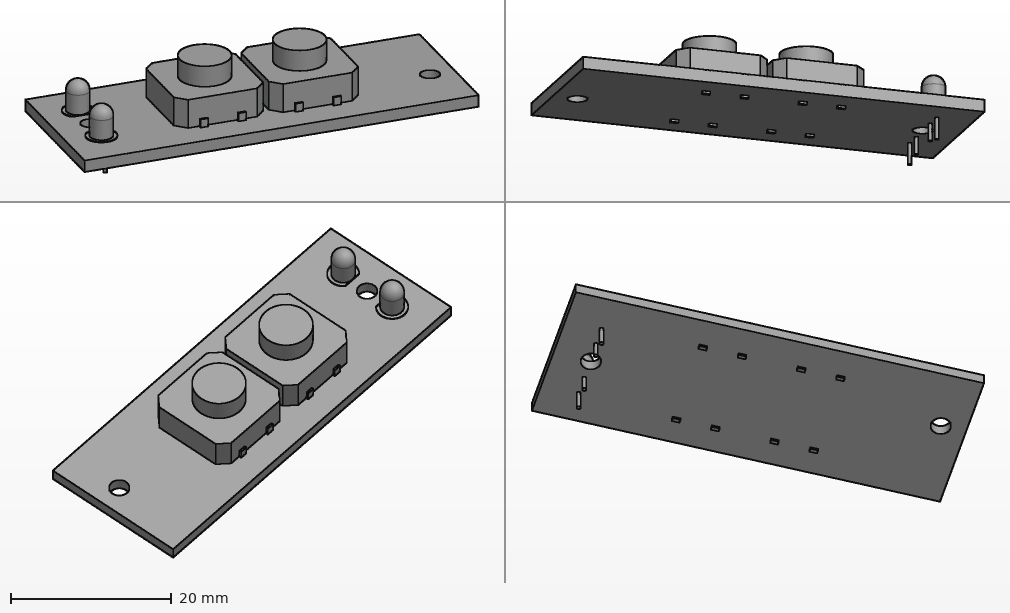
import cadquery as cq

BOARD_WIDTH = 19.8
BOARD_LENGTH = 52.85
BOARD_THICKNESS = 1.6
HOLE_DIAMETER = 2.55

BUTTON_X = -0.15
BUTTON_PITCH = 12.75
UPPER_BUTTON_Y = 6.45
BODY_SIDE = 12.0
BODY_CHAMFER = 1.35
BODY_STANDOFF = 0.1
BODY_TOP = 3.95
CAP_DIAMETER = 6.7
CAP_TOP = 6.75

LEG_WIDTH = 1.0
LEG_THICKNESS = 0.5
LEG_OVERHANG = 0.25
LEG_PITCH = 5.05
LEG_TOP = 1.1
LEG_BELOW_BOARD = 0.3

LED_DIAMETER = 3.0
LED_HEIGHT = 4.35
FLANGE_DIAMETER = 4.0
FLANGE_THICKNESS = 0.1
LED_PIN_DIAMETER = 0.5
LED_PIN_PITCH = 2.55
LONG_PIN_BOTTOM = -4.4
SHORT_PIN_BOTTOM = -3.8

HOLE_CENTRES = [(1.8, 23.15), (-0.25, -21.55)]
BUTTON_CENTRES = [(BUTTON_X, UPPER_BUTTON_Y), (BUTTON_X, UPPER_BUTTON_Y - BUTTON_PITCH)]
LEFT_LED_CENTRE = (-4.35, -21.6)
RIGHT_LED_CENTRE = (3.8, -21.7)


def upright_cylinder(x, y, diameter, bottom, top):
    return cq.Workplane("XY", origin=(x, y, bottom)).circle(diameter / 2).extrude(top - bottom)


def make_board():
    plate = cq.Workplane("XY").box(
        BOARD_WIDTH, BOARD_LENGTH, BOARD_THICKNESS, centered=(True, True, False)
    )
    plate = plate.translate((0, 0, -BOARD_THICKNESS))
    for x, y in HOLE_CENTRES:
        plate = plate.cut(upright_cylinder(x, y, HOLE_DIAMETER, -BOARD_THICKNESS, 0))
    return plate


def make_button(x, y):
    """Chamfered square body held just above the board by four legs, with a round cap."""
    body = (
        cq.Workplane("XY", origin=(x, y, BODY_STANDOFF))
        .rect(BODY_SIDE, BODY_SIDE)
        .extrude(BODY_TOP - BODY_STANDOFF)
        .edges("|Z")
        .chamfer(BODY_CHAMFER)
    )
    cap = upright_cylinder(x, y, CAP_DIAMETER, BODY_TOP, CAP_TOP)
    leg_bottom = -BOARD_THICKNESS - LEG_BELOW_BOARD
    leg_spacing_x = BODY_SIDE + 2 * LEG_OVERHANG - LEG_THICKNESS
    legs = (
        cq.Workplane("XY", origin=(x, y, leg_bottom))
        .rarray(leg_spacing_x, LEG_PITCH, 2, 2)
        .rect(LEG_THICKNESS, LEG_WIDTH)
        .extrude(LEG_TOP - leg_bottom)
    )
    return body.union(cap).union(legs)


def make_led(x, y, flat_side):
    """Domed LED; flat_side is +1 or -1, the X direction of the flange flat and the short pin."""
    radius = LED_DIAMETER / 2
    lens = upright_cylinder(x, y, LED_DIAMETER, 0, LED_HEIGHT - radius)
    dome = cq.Workplane("XY", origin=(x, y, LED_HEIGHT - radius)).sphere(radius)
    flange = upright_cylinder(x, y, FLANGE_DIAMETER, 0, FLANGE_THICKNESS)
    flat_trim = (
        cq.Workplane("XY", origin=(x + flat_side * (radius + FLANGE_DIAMETER / 2), y, 0))
        .rect(FLANGE_DIAMETER, FLANGE_DIAMETER)
        .extrude(FLANGE_THICKNESS)
    )
    pin_offset = flat_side * LED_PIN_PITCH / 2
    short_pin = upright_cylinder(x + pin_offset, y, LED_PIN_DIAMETER, SHORT_PIN_BOTTOM, 0)
    long_pin = upright_cylinder(x - pin_offset, y, LED_PIN_DIAMETER, LONG_PIN_BOTTOM, 0)
    return lens.union(dome).union(flange.cut(flat_trim)).union(short_pin).union(long_pin)


result = make_board()
for button_x, button_y in BUTTON_CENTRES:
    result = result.union(make_button(button_x, button_y))
result = result.union(make_led(*LEFT_LED_CENTRE, flat_side=1))
result = result.union(make_led(*RIGHT_LED_CENTRE, flat_side=-1))